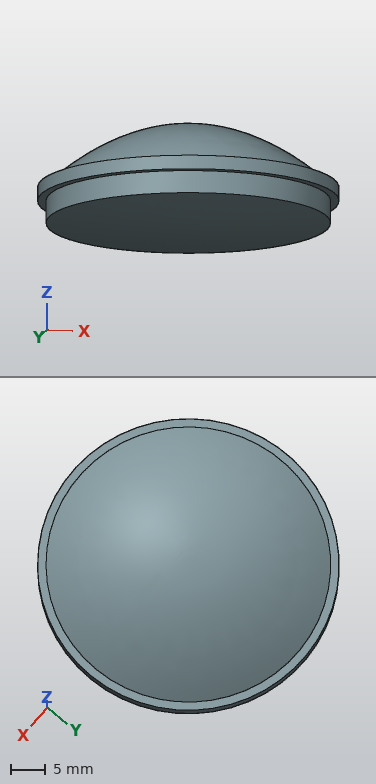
import cadquery as cq

flange_radius = 21.65
flange_thickness = 2.0
body_radius = 20.45
body_height = 3.25
dome_height = 8.9
base_bulge = 0.85

body_bottom = base_bulge
flange_bottom = body_bottom + body_height
flange_top = flange_bottom + flange_thickness
dome_top = flange_top + dome_height

base_sphere_radius = (body_radius**2 + base_bulge**2) / (2 * base_bulge)
half_radius = body_radius / 2
base_mid_height = base_sphere_radius - (base_sphere_radius**2 - half_radius**2) ** 0.5

dome_edge = (body_radius, flange_top)
dome_control = (half_radius, dome_top)
dome_apex = (0, dome_top)

half_section = (
    cq.Workplane("XZ")
    .moveTo(0, 0)
    .threePointArc((half_radius, base_mid_height), (body_radius, body_bottom))
    .lineTo(body_radius, flange_bottom)
    .lineTo(flange_radius, flange_bottom)
    .lineTo(flange_radius, flange_top)
    .lineTo(*dome_edge)
    .bezier([dome_edge, dome_control, dome_apex])
    .close()
)

result = half_section.revolve(360, (0, 0, 0), (0, 1, 0))